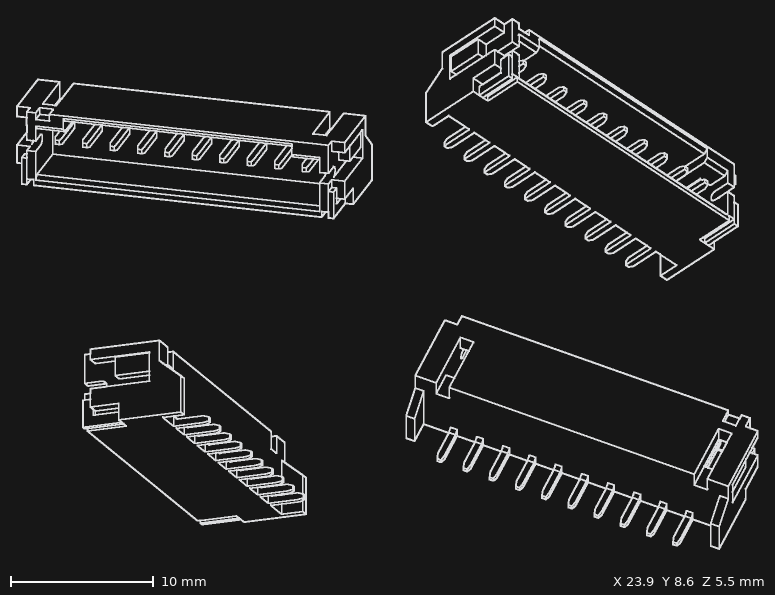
import cadquery as cq


width = 23.9
height = 5.5
body_depth = 6.0
core_width = 22.0
wall_front = 0.8

ear_width = 0.65
ear_depth = 7.6
ear_back_height = 2.7
ear_slope_top = 4.0

cavity_width = 20.7
cavity_depth = 4.25
floor_top = 0.72
shoulder_ceiling = 4.2
key_width = 16.65
key_ceiling = 5.0
lead_in = 0.3

side_bottom = 2.58
side_top = 4.73
side_depth = 5.25
side_block_width = 0.8
side_block_front = 2.6
slot_depth = 1.65
slot_top = 3.37

groove_width = 1.0
groove_front = 1.73
notch_depth = 1.0
notch_drop = 0.5

tab_thickness = 0.37
tab_length = 2.92
tab_foot_height = 0.8
tab_post_height = 2.0
tab_recess_height = 1.22
under_notch_width = 0.5
under_notch_height = 0.43

contact_count = 10
pitch = 2.0
pin_size = 0.5
pin_tip_size = 0.3
pin_tip_length = 0.37
contact_center_z = slot_top - pin_size / 2
contact_tip_y = 0.78
tail_tip_y = 8.6
tail_bend = 0.28


def block(x_min, x_max, y_min, y_max, z_min, z_max):
    """Box given by its limits along the three axes."""
    size = (x_max - x_min, y_max - y_min, z_max - z_min)
    return cq.Workplane("XY").box(*size, centered=False).translate((x_min, y_min, z_min))


def both_ends(shape):
    """A feature at the left end together with its mirror image at the right end."""
    return shape.union(shape.mirror("YZ"))


def extrude_side(points, x_min, x_max):
    """Straight-sided (Y, Z) outline extruded from x_min to x_max."""
    profile = cq.Workplane("YZ", origin=(x_min, 0, 0)).polyline(points).close()
    return profile.extrude(x_max - x_min)


def housing_block():
    core = block(-core_width / 2, core_width / 2, 0, body_depth, 0, height)
    walls = block(-width / 2, width / 2, wall_front, body_depth, 0, height)
    ear_outline = [
        (wall_front, 0),
        (ear_depth, 0),
        (ear_depth, ear_back_height),
        (body_depth, ear_slope_top),
        (wall_front, ear_slope_top),
    ]
    ear = extrude_side(ear_outline, -width / 2, -width / 2 + ear_width)
    return core.union(walls).union(both_ends(ear))


def cavity_step(step_width, ceiling):
    """Cavity of one ceiling height, with its 45-degree lead-in slopes at the mating face."""
    outline = [
        (0, floor_top - lead_in),
        (lead_in, floor_top),
        (cavity_depth, floor_top),
        (cavity_depth, ceiling),
        (lead_in, ceiling),
        (0, ceiling + lead_in),
    ]
    return extrude_side(outline, -step_width / 2, step_width / 2)


def cavity():
    full_width = cavity_step(cavity_width, shoulder_ceiling)
    keyway = cavity_step(key_width, key_ceiling)
    return full_width.union(keyway)


def side_openings():
    """Recess in each end wall, its raised block, and the round-ended slot into the cavity."""
    core_side = -core_width / 2
    recess = block(-width / 2, core_side, 0, side_depth, side_bottom, side_top)
    raised = block(core_side - side_block_width, core_side, side_block_front, side_depth, slot_top, side_top)
    radius = (slot_top - side_bottom) / 2
    slot_center_z = (slot_top + side_bottom) / 2
    arc_start_y = slot_depth - radius
    slot = (
        cq.Workplane("YZ", origin=(core_side, 0, 0))
        .moveTo(0, side_bottom)
        .lineTo(arc_start_y, side_bottom)
        .threePointArc((slot_depth, slot_center_z), (arc_start_y, slot_top))
        .lineTo(0, slot_top)
        .close()
        .extrude((core_width - cavity_width) / 2)
    )
    return both_ends(recess.cut(raised).union(slot))


def top_cuts():
    """Rear groove at each end, opening into the cavity, and one marking notch on the left."""
    x_min = -cavity_width / 2
    x_max = x_min + groove_width
    groove = block(x_min, x_max, groove_front, body_depth, shoulder_ceiling, height)
    notch = block(x_min, x_max, 0, notch_depth, height - notch_drop, height)
    return both_ends(groove).union(notch)


def tab_recesses():
    """Clearance in the end wall over each tab, and the notch under the core beside it."""
    core_side = -core_width / 2
    wall_recess = block(-width / 2, core_side, 0, tab_length, 0, tab_recess_height)
    under_notch = block(core_side, core_side + under_notch_width, 0, tab_length, 0, under_notch_height)
    return both_ends(wall_recess.union(under_notch))


def tapered_pin(x, tip_y, root_y, center_z):
    """Square pin along Y, tapered at tip_y and ending flat at root_y."""
    direction = 1 if root_y > tip_y else -1
    shoulder_y = tip_y + direction * pin_tip_length
    half = pin_size / 2
    y_min = min(shoulder_y, root_y)
    y_max = max(shoulder_y, root_y)
    shank = block(x - half, x + half, y_min, y_max, center_z - half, center_z + half)
    tip = (
        cq.Workplane("XZ", origin=(x, shoulder_y, center_z))
        .rect(pin_size, pin_size)
        .workplane(offset=shoulder_y - tip_y)
        .rect(pin_tip_size, pin_tip_size)
        .loft(ruled=True)
    )
    return shank.union(tip)


def contact(x):
    """Mating pin in the cavity and the solder tail leaving the back of the housing."""
    mating_pin = tapered_pin(x, contact_tip_y, cavity_depth, contact_center_z)
    tail = tapered_pin(x, tail_tip_y, body_depth, pin_size / 2)
    bend_outline = [
        (body_depth, pin_size),
        (body_depth + tail_bend, pin_size),
        (body_depth, pin_size + tail_bend),
    ]
    bend = extrude_side(bend_outline, x - pin_size / 2, x + pin_size / 2)
    return mating_pin, tail.union(bend)


def build_housing():
    shell = housing_block().cut(cavity()).cut(side_openings()).cut(top_cuts()).cut(tab_recesses())
    for index in range(contact_count):
        x = (index - (contact_count - 1) / 2) * pitch
        for piece in contact(x):
            shell = shell.union(piece)
    return shell


def build_tab(side):
    """L-shaped solder tab against the core: side is -1 for the left end, 1 for the right end."""
    outline = [
        (0, 0),
        (tab_length, 0),
        (tab_length, tab_foot_height),
        (wall_front, tab_foot_height),
        (wall_front, tab_post_height),
        (0, tab_post_height),
    ]
    inner_x = side * core_width / 2
    outer_x = inner_x + side * tab_thickness
    return extrude_side(outline, min(inner_x, outer_x), max(inner_x, outer_x))


housing = build_housing()
solder_tabs = [build_tab(side) for side in (-1, 1)]

result = cq.Compound.makeCompound([housing.val(), *[tab.val() for tab in solder_tabs]])